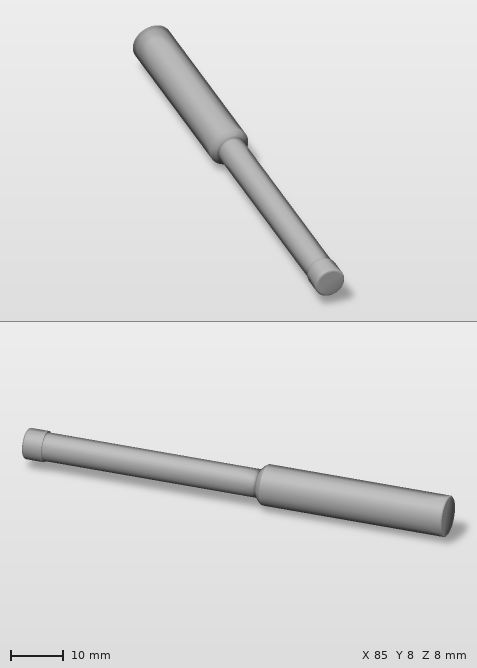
import cadquery as cq

total_length = 85.0
handle_diameter = 8.0
neck_diameter = 5.5
tip_diameter = 6.0

handle_length = 38.0
shoulder_length = 1.3
tip_length = 4.0

handle_end_chamfer = 0.2
shoulder_bulge = 0.13
tip_fillet = 0.5

handle_radius = handle_diameter / 2
neck_radius = neck_diameter / 2
handle_start = -total_length / 2
neck_start = handle_start + handle_length
shoulder_start = neck_start - shoulder_length
tip_start = total_length / 2 - tip_length


def make_shank():
    """Thick handle with a convex shoulder that narrows to a thinner neck, as one turned piece."""
    profile = (
        cq.Workplane("XY")
        .moveTo(handle_start, 0)
        .lineTo(handle_start, handle_radius - handle_end_chamfer)
        .lineTo(handle_start + handle_end_chamfer, handle_radius)
        .lineTo(shoulder_start, handle_radius)
        .sagittaArc((neck_start, neck_radius), shoulder_bulge)
        .lineTo(tip_start, neck_radius)
        .lineTo(tip_start, 0)
        .close()
    )
    return profile.revolve(360, (0, 0, 0), (1, 0, 0))


def make_tip():
    """Short working head seated on the end of the neck, rounded at its free end."""
    head = cq.Workplane("YZ", origin=(tip_start, 0, 0)).circle(tip_diameter / 2).extrude(tip_length)
    return head.faces(">X").edges().fillet(tip_fillet)


shank = make_shank()
tip = make_tip()

result = cq.Compound.makeCompound([shank.val(), tip.val()])